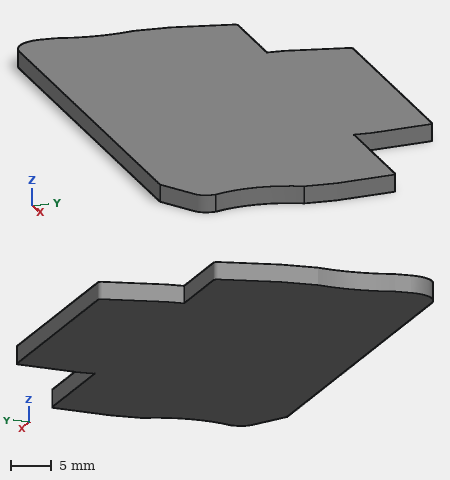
import cadquery as cq
import math

length = 67.6
width = 39.6
thickness = 2.2

shoulder_y = width - 10.6
body_taper_y = width - 18.7
tower_taper_y = width - 8.3

tower_left = 13.45
tower_right = 49.1

taper_angle = math.radians(9)
body_taper = (shoulder_y - body_taper_y) * math.tan(taper_angle)
tower_taper = (width - tower_taper_y) * math.tan(taper_angle)

notch_center_y = 11.0
left_notch_half = 5.0
left_notch_depth = 0.7
right_notch_half = 5.75
right_notch_depth = 1.3

chamfer_length = 6.0
chamfer_angle = math.radians(30)
chamfer_height = chamfer_length * math.tan(chamfer_angle)
left_corner_radius = 4.0
chamfer_corner_radius = 2.0
top_corner_radius = 0.5


def make_blank():
    """Plate with tapered flanks and a chamfer, before corners are rounded."""
    return (
        cq.Workplane("XY")
        .moveTo(0, 0)
        .lineTo(length - chamfer_length, 0)
        .lineTo(length, chamfer_height)
        .lineTo(length, body_taper_y)
        .lineTo(length - body_taper, shoulder_y)
        .lineTo(tower_right, shoulder_y)
        .lineTo(tower_right, tower_taper_y)
        .lineTo(tower_right - tower_taper, width)
        .lineTo(tower_left + tower_taper, width)
        .lineTo(tower_left, tower_taper_y)
        .lineTo(tower_left, shoulder_y)
        .lineTo(body_taper, shoulder_y)
        .lineTo(0, body_taper_y)
        .close()
        .extrude(thickness)
    )


def round_corner(plate, x, y, radius):
    """Fillet the vertical edge nearest to the given corner."""
    corner = cq.selectors.NearestToPointSelector((x, y, thickness / 2))
    return plate.edges("|Z").edges(corner).fillet(radius)


def arc_notch(edge_x, inward_depth, half_height):
    """Circular segment whose chord lies on an end edge of the plate."""
    return (
        cq.Workplane("XY")
        .moveTo(edge_x, notch_center_y - half_height)
        .threePointArc(
            (edge_x + inward_depth, notch_center_y),
            (edge_x, notch_center_y + half_height),
        )
        .close()
        .extrude(thickness)
    )


rounded_corners = [
    (0, 0, left_corner_radius),
    (length, chamfer_height, chamfer_corner_radius),
    (body_taper, shoulder_y, top_corner_radius),
    (length - body_taper, shoulder_y, top_corner_radius),
    (tower_left + tower_taper, width, top_corner_radius),
    (tower_right - tower_taper, width, top_corner_radius),
]

plate = make_blank()
for corner_x, corner_y, radius in rounded_corners:
    plate = round_corner(plate, corner_x, corner_y, radius)

left_notch = arc_notch(0, left_notch_depth, left_notch_half)
right_notch = arc_notch(length, -right_notch_depth, right_notch_half)
result = plate.cut(left_notch).cut(right_notch)